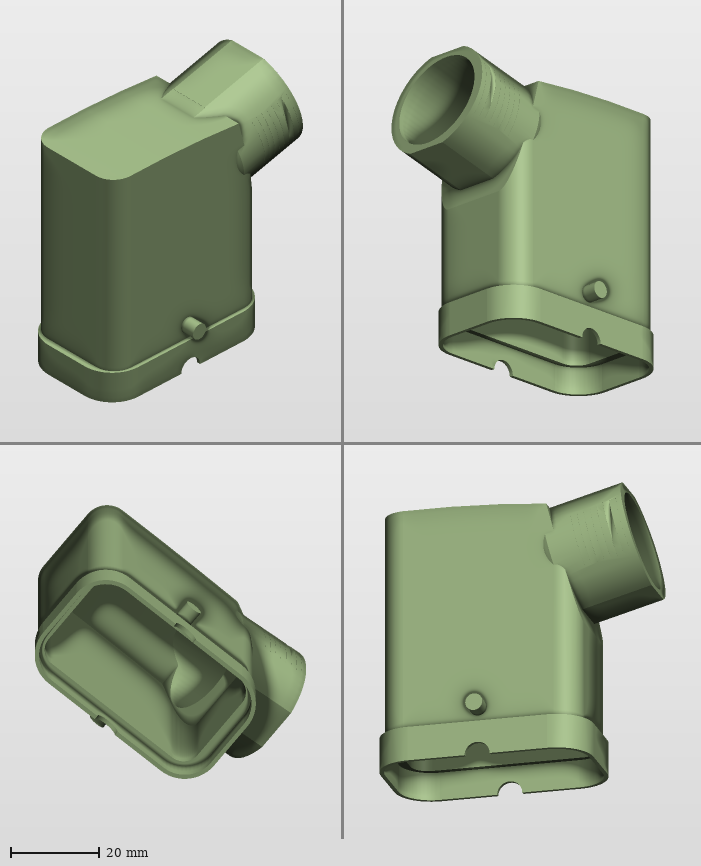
import cadquery as cq
import math

rim_width, rim_length, rim_height, rim_corner = 29.15, 50.0, 8.1, 8.6
body_width, body_length, body_corner = 27.1, 46.6, 5.6
crown_height, crown_y, crown_radius = 60.45, -11.35, 282.3
wall = 1.5
mouth_wall, mouth_depth = 1.0, 6.55

pin_diameter, pin_span, pin_z = 4.0, 35.0, 11.6
notch_radius = 2.95

spout_tilt = 15.0
overall_length, overall_height = 63.5, 65.65
spout_radius, spout_flat = 14.1, 13.1
bore_radius = 11.7
shoulder_foot_z = 31.8
collar_depth = 2.15
collar_taper_drop, collar_taper_length = 0.6, 1.3
root_flat = 13.05

groove_count, groove_pitch, groove_first = 8, 1.6, 1.3
groove_width, groove_depth = 0.05, 0.05
groove_half_chord, groove_lift = 6.75, 0.25

tilt = math.radians(spout_tilt)
tip_y = overall_length - rim_length / 2 - spout_flat * math.sin(tilt)
tip_z = overall_height - spout_flat * math.cos(tilt)
spout_plane = cq.Plane(
    origin=(0, tip_y, tip_z), xDir=(1, 0, 0), normal=(0, math.cos(tilt), math.sin(tilt))
)

shoulder_depth = (tip_y - body_length / 2) * math.cos(tilt) + (tip_z - shoulder_foot_z) * math.sin(tilt)
collar_end = shoulder_depth + collar_depth
root_end = collar_end + body_corner


def rounded_block(width, length, height, corner):
    """Upright block standing on Z = 0 with rounded vertical corners."""
    return cq.Workplane("XY").rect(width, length).extrude(height).edges("|Z").fillet(corner)


def crown_cylinder(radius):
    """Wide cylinder along X whose top is the gently arched roof."""
    return (
        cq.Workplane("YZ", origin=(-body_width, crown_y, crown_height - crown_radius))
        .circle(radius)
        .extrude(2 * body_width)
    )


def behind_shoulder(depth):
    """Large half space on the body side of a plane square to the spout."""
    size = 3 * overall_height
    return cq.Workplane(spout_plane).workplane(offset=-depth).rect(size, size).extrude(-size)


def body_shape(inset):
    """Tall body under the arched roof and slanted shoulder, shrunk by an inset."""
    block = rounded_block(
        body_width - 2 * inset, body_length - 2 * inset, overall_height, body_corner - inset
    )
    return block.intersect(crown_cylinder(crown_radius - inset)).intersect(
        behind_shoulder(shoulder_depth + inset)
    )


def flatted_bar(start, end, flat):
    """Round bar along the spout axis with a flat above and below."""
    length = end - start
    plane = cq.Workplane(spout_plane).workplane(offset=-start)
    bar = plane.circle(spout_radius).extrude(-length)
    slab = plane.rect(3 * spout_radius, 2 * flat).extrude(-length)
    return bar.intersect(slab)


def spout():
    """Spout with its tapered collar and the root that runs into the roof."""
    tube = flatted_bar(0, collar_end, spout_flat)
    root = flatted_bar(collar_end, root_end, root_flat)
    root = root.intersect(cq.Workplane("XY").box(body_width, 4 * body_length, 4 * overall_height))
    taper = (
        cq.Workplane(spout_plane)
        .workplane(offset=-collar_end)
        .circle(spout_radius)
        .workplane(offset=-collar_taper_length)
        .circle(spout_radius - collar_taper_drop)
        .loft()
    )
    taper = taper.intersect(flatted_bar(collar_end, root_end, root_flat))
    return tube.union(root).union(taper)


def grip_grooves():
    """Fine grooves across both sides of the spout."""
    grooves = cq.Workplane("XY")
    for index in range(groove_count):
        depth = groove_first + index * groove_pitch
        plane = cq.Workplane(spout_plane).workplane(offset=-depth - groove_width / 2)
        ring = plane.circle(2 * spout_radius).circle(spout_radius - groove_depth).extrude(groove_width)
        band = plane.center(0, -groove_lift).rect(4 * spout_radius, 2 * groove_half_chord).extrude(groove_width)
        grooves = grooves.union(ring.intersect(band))
    return grooves


def cross_bar(radius, length, z):
    """Round bar along X, centred on the part."""
    return cq.Workplane("YZ", origin=(-length / 2, 0, z)).circle(radius).extrude(length)


shell = rounded_block(rim_width, rim_length, rim_height, rim_corner)
shell = shell.union(body_shape(0)).union(spout())
shell = shell.union(cross_bar(pin_diameter / 2, pin_span, pin_z))

bore = cq.Workplane(spout_plane).circle(bore_radius).extrude(-root_end)
mouth = rounded_block(
    rim_width - 2 * mouth_wall, rim_length - 2 * mouth_wall, mouth_depth, rim_corner - mouth_wall
)
shell = shell.cut(body_shape(wall)).cut(bore).cut(mouth)

shell = shell.cut(grip_grooves())
result = shell.cut(cross_bar(notch_radius, 2 * rim_width, 0))